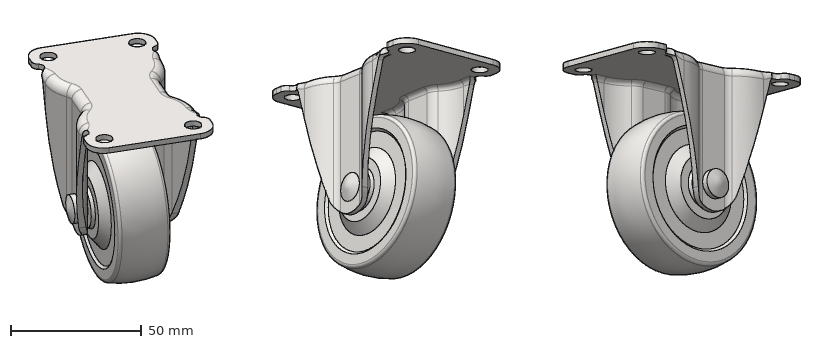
import cadquery as cq
import math


PLATE_LENGTH = 85.0
PLATE_WIDTH = 51.0
SHEET = 2.3
CORNER_RADIUS = 7.0
HOLE_DIAMETER = 6.55
HOLE_PITCH_X = 69.9
HOLE_PITCH_Y = 35.95

WAIST_HALF_LENGTH = 5.7
WAIST_Y = 17.9
SHOULDER_X = 20.8
SHOULDER_Y = 23.7
WAIST_RADIUS = 4.4
BEND_RADIUS = 4.0
INNER_BEND_RADIUS = 2.0
MID_BEND_RADIUS = 3.2
END_BEND_RADIUS = 1.7
FOLD_END_X = 26.35

NOTCH_X = 27.8
NOTCH_FLOOR_Y = 21.9
NOTCH_RADIUS = 2.5
NOTCH_MOUTH_RADIUS = 3.0

AXLE_Z = -48.45
WALL_FOOT_RADIUS = 10.5
TAPER_ANGLE = 16.9
WALL_ROOT_RADIUS = 2.9

WHEEL_RADIUS = 31.45
TREAD_EDGE_RADIUS = 30.35
TREAD_HALF_WIDTH = 9.3
WHEEL_HALF_WIDTH = 10.45
RIM_RADIUS = 29.0
RECESS_RADIUS = 24.8
RECESS_DEPTH = 1.0
RECESS_FLOOR_RADIUS = RECESS_RADIUS - RECESS_DEPTH
HUB_BASE_RADIUS = 17.3
HUB_FACE_RADIUS = 12.7
HUB_HALF_WIDTH = 13.1
BOSS_BASE_RADIUS = 8.75
BOSS_FACE_RADIUS = 8.1
BOSS_HALF_WIDTH = 14.5

AXLE_RADIUS = 4.0
HEAD_RADIUS = WAIST_HALF_LENGTH
HEAD_HEIGHT = 2.5
HEAD_POINT = 1.8
REAR_POINT = 1.95

WALL_BOTTOM_Z = AXLE_Z - WALL_FOOT_RADIUS

S_RUN = SHOULDER_X - WAIST_HALF_LENGTH
S_RISE = SHOULDER_Y - WAIST_Y
S_ANGLE = 2 * math.atan(S_RISE / S_RUN)
SHOULDER_RADIUS = S_RUN / math.sin(S_ANGLE) - WAIST_RADIUS


def s_curve(offset):
    """Points of the S at +X and +Y, moved inwards from the outer wall face by offset.

    Returns start, middle and end of the waist arc, then middle and end of the shoulder arc.
    """
    waist_radius = WAIST_RADIUS + offset
    shoulder_radius = SHOULDER_RADIUS - offset
    waist_centre_y = WAIST_Y + WAIST_RADIUS
    shoulder_centre_y = SHOULDER_Y - SHOULDER_RADIUS

    def on_waist(angle):
        return (WAIST_HALF_LENGTH + waist_radius * math.sin(angle),
                waist_centre_y - waist_radius * math.cos(angle))

    def on_shoulder(angle):
        return (SHOULDER_X - shoulder_radius * math.sin(angle),
                shoulder_centre_y + shoulder_radius * math.cos(angle))

    return [on_waist(0), on_waist(S_ANGLE / 2), on_waist(S_ANGLE),
            on_shoulder(S_ANGLE / 2), on_shoulder(0)]


def waved_block(offset, half_length):
    """Block with two waved long sides and straight ends at +-half_length, hanging below Z = 0."""
    right = s_curve(offset)
    left = [(-x, y) for x, y in reversed(right)]
    end_y = SHOULDER_Y - offset

    outline = cq.Workplane("XY").moveTo(-half_length, 0)
    if half_length > SHOULDER_X:
        outline = outline.lineTo(-half_length, end_y)
    for start, first_middle, joint, second_middle, end in (left, right):
        outline = (
            outline.lineTo(*start)
            .threePointArc(first_middle, joint)
            .threePointArc(second_middle, end)
        )
    if half_length > SHOULDER_X:
        outline = outline.lineTo(half_length, end_y)
    half = outline.lineTo(half_length, 0).close().extrude(WALL_BOTTOM_Z)
    return half.union(half.mirror("XZ"))


def waved_middle():
    """Solid middle of the folded frame, with the fold rounded along both waved sides."""
    block = waved_block(0, SHOULDER_X)
    return block.faces(">Z").edges("not(<X or >X)").fillet(BEND_RADIUS)


def fold_section(x, radius):
    """Waste outside a fold of the given radius at the outer top corner of a wall end."""
    diagonal = radius * (1 - math.sqrt(0.5))
    return (
        cq.Workplane("YZ", origin=(x, 0, 0))
        .moveTo(SHOULDER_Y - radius, 0)
        .threePointArc((SHOULDER_Y - diagonal, -diagonal), (SHOULDER_Y, -radius))
        .lineTo(SHOULDER_Y, 0)
        .close()
        .val()
    )


def tightening_fold():
    """Waste of the fold between a shoulder and the wall end, where its radius shrinks."""
    middle_x = (SHOULDER_X + FOLD_END_X) / 2
    sections = [
        fold_section(SHOULDER_X, BEND_RADIUS),
        fold_section(middle_x, MID_BEND_RADIUS),
        fold_section(FOLD_END_X, END_BEND_RADIUS),
    ]
    return cq.Workplane(cq.Solid.makeLoft(sections))


def polar(centre, radius, angle):
    """Point on a circle, the angle in radians from +X."""
    return (centre[0] + radius * math.cos(angle), centre[1] + radius * math.sin(angle))


def plate_end():
    """Plate end at +X: two rounded corners, two relief notches and the straight wall ends."""
    half_length = PLATE_LENGTH / 2
    half_width = PLATE_WIDTH / 2

    notch = (NOTCH_X, NOTCH_FLOOR_Y + NOTCH_RADIUS)
    lip_y = half_width - NOTCH_MOUTH_RADIUS
    centre_distance = NOTCH_RADIUS + NOTCH_MOUTH_RADIUS
    lip_angle = math.asin((lip_y - notch[1]) / centre_distance)
    lip = (NOTCH_X + centre_distance * math.cos(lip_angle), lip_y)
    wall_end_x = NOTCH_X - math.sqrt(NOTCH_RADIUS ** 2 - (SHOULDER_Y - notch[1]) ** 2)
    lip_start_angle = lip_angle + math.pi
    lip_end_angle = math.pi / 2
    lip_middle_angle = (lip_start_angle + lip_end_angle) / 2

    corner = (half_length - CORNER_RADIUS, half_width - CORNER_RADIUS)

    half = (
        cq.Workplane("XY")
        .moveTo(SHOULDER_X, 0)
        .lineTo(SHOULDER_X, SHOULDER_Y)
        .lineTo(wall_end_x, SHOULDER_Y)
        .threePointArc((NOTCH_X, NOTCH_FLOOR_Y), polar(notch, NOTCH_RADIUS, lip_angle))
        .threePointArc(polar(lip, NOTCH_MOUTH_RADIUS, lip_middle_angle), (lip[0], half_width))
        .lineTo(corner[0], half_width)
        .threePointArc(polar(corner, CORNER_RADIUS, math.pi / 4), (half_length, corner[1]))
        .lineTo(half_length, 0)
        .close()
        .extrude(WALL_BOTTOM_Z)
        .cut(tightening_fold())
    )
    return half.union(half.mirror("XZ"))


def frame_cavity():
    """Space between the side walls, rounded where the walls meet the plate."""
    cavity = waved_block(SHEET, PLATE_LENGTH).translate((0, 0, -SHEET))
    return cavity.faces(">Z").edges("not(<X or >X)").fillet(INNER_BEND_RADIUS)


def frame_profile():
    """Lengthwise outline: plate on top, walls that taper down to a round foot at the axle."""
    taper = math.radians(TAPER_ANGLE)
    foot_x = WALL_FOOT_RADIUS * math.cos(taper)
    foot_z = AXLE_Z - WALL_FOOT_RADIUS * math.sin(taper)
    root_x = foot_x + (-SHEET - foot_z) * math.tan(taper)
    half_length = PLATE_LENGTH / 2
    profile = (
        cq.Workplane("XZ")
        .moveTo(-foot_x, foot_z)
        .threePointArc((0, WALL_BOTTOM_Z), (foot_x, foot_z))
        .lineTo(root_x, -SHEET)
        .lineTo(half_length, -SHEET)
        .lineTo(half_length, 0)
        .lineTo(-half_length, 0)
        .lineTo(-half_length, -SHEET)
        .lineTo(-root_x, -SHEET)
        .close()
        .extrude(PLATE_WIDTH / 2, both=True)
    )
    reach = 0.85
    for x in (-root_x, root_x):
        root = cq.selectors.BoxSelector(
            (x - reach, -PLATE_WIDTH, -SHEET - reach), (x + reach, PLATE_WIDTH, -SHEET + reach))
        profile = profile.edges("|Y").edges(root).fillet(WALL_ROOT_RADIUS)
    return profile


def axle_line():
    """Workplane through the axle: its X is the radius and its Y runs along the axle."""
    return cq.Workplane("XY", origin=(0, 0, AXLE_Z))


def make_frame():
    end = plate_end()
    frame = waved_middle().union(end).union(end.mirror("YZ"))
    frame = frame.cut(frame_cavity()).intersect(frame_profile())
    holes = (
        cq.Workplane("XY")
        .rect(HOLE_PITCH_X, HOLE_PITCH_Y, forConstruction=True)
        .vertices()
        .circle(HOLE_DIAMETER / 2)
        .extrude(-SHEET)
    )
    axle_hole = (
        cq.Workplane("XZ", origin=(0, 0, AXLE_Z))
        .circle(AXLE_RADIUS)
        .extrude(PLATE_WIDTH / 2, both=True)
    )
    return frame.cut(holes).cut(axle_hole)


def make_wheel():
    recess_y = WHEEL_HALF_WIDTH - RECESS_DEPTH
    edge_sine = math.sqrt(0.5)
    edge_radius = RIM_RADIUS + (TREAD_EDGE_RADIUS - RIM_RADIUS) * edge_sine
    edge_y = TREAD_HALF_WIDTH + (WHEEL_HALF_WIDTH - TREAD_HALF_WIDTH) * edge_sine

    side = [
        (RECESS_RADIUS, WHEEL_HALF_WIDTH),
        (RECESS_FLOOR_RADIUS, recess_y),
        (HUB_BASE_RADIUS, recess_y),
        (HUB_FACE_RADIUS, HUB_HALF_WIDTH),
        (BOSS_BASE_RADIUS, HUB_HALF_WIDTH),
        (BOSS_FACE_RADIUS, BOSS_HALF_WIDTH),
        (AXLE_RADIUS, BOSS_HALF_WIDTH),
    ]
    outline = (
        axle_line()
        .moveTo(RIM_RADIUS, -WHEEL_HALF_WIDTH)
        .threePointArc((edge_radius, -edge_y), (TREAD_EDGE_RADIUS, -TREAD_HALF_WIDTH))
        .threePointArc((WHEEL_RADIUS, 0), (TREAD_EDGE_RADIUS, TREAD_HALF_WIDTH))
        .threePointArc((edge_radius, edge_y), (RIM_RADIUS, WHEEL_HALF_WIDTH))
    )
    for radius, y in side + [(radius, -y) for radius, y in reversed(side)]:
        outline = outline.lineTo(radius, y)
    return outline.close().revolve(360, (0, 0, 0), (0, 1, 0))


def make_axle():
    """Pin with a raised pointed head at -Y and a low pointed head at +Y."""
    head_y = -WAIST_Y - HEAD_HEIGHT
    outline = [
        (0, head_y - HEAD_POINT),
        (HEAD_RADIUS, head_y),
        (HEAD_RADIUS, -WAIST_Y),
        (AXLE_RADIUS, -WAIST_Y),
        (AXLE_RADIUS, WAIST_Y),
        (HEAD_RADIUS, WAIST_Y),
        (0, WAIST_Y + REAR_POINT),
    ]
    return axle_line().polyline(outline).close().revolve(360, (0, 0, 0), (0, 1, 0))


frame = make_frame()
wheel = make_wheel()
axle = make_axle()

result = cq.Compound.makeCompound([frame.val(), wheel.val(), axle.val()])